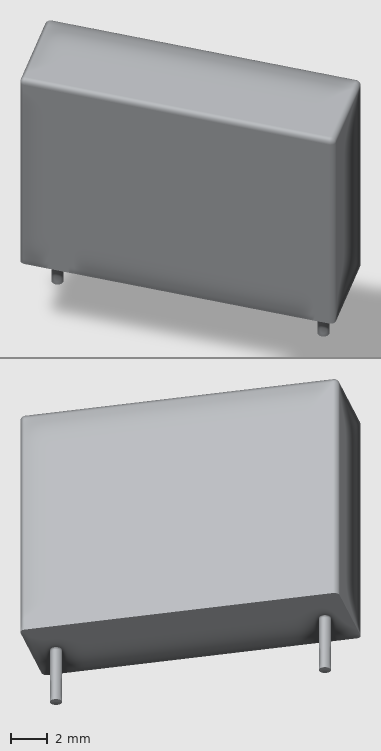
import cadquery as cq

LENGTH = 17.8
WIDTH = 5.3
HOUSING_HEIGHT = 13.3
EDGE_RADIUS = 0.3

LEAD_DIAMETER = 0.65
LEAD_LENGTH = 3.2
LEAD_PITCH = 15.0


def make_housing():
    """Block standing on Z = 0, rounded on every edge except around its base."""
    block = cq.Workplane("XY").box(LENGTH, WIDTH, HOUSING_HEIGHT, centered=(True, True, False))
    return block.edges("|Z or >Z").fillet(EDGE_RADIUS)


def make_lead(x):
    """Round lead hanging from the base of the housing."""
    return cq.Workplane("XY").center(x, 0).circle(LEAD_DIAMETER / 2).extrude(-LEAD_LENGTH)


housing = make_housing()
leads = [make_lead(side * LEAD_PITCH / 2) for side in (-1, 1)]

result = cq.Compound.makeCompound([housing.val(), *[lead.val() for lead in leads]])